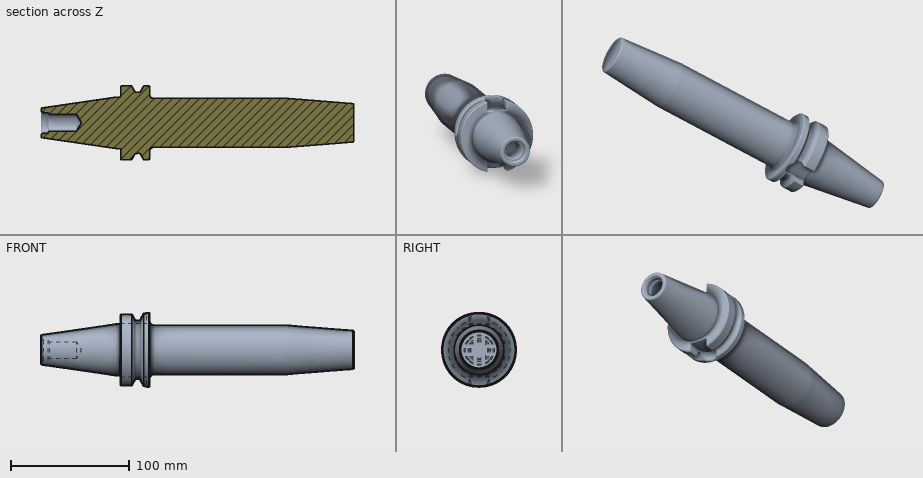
import cadquery as cq
import math


gauge_radius = 44.45 / 2
taper_slope = 7 / 24 / 2
shank_start_x = -65.4
shank_end_chamfer = 0.8
taper_end_x = -1.4

flange_radius = 63 / 2
flange_start_x = 2.0
flange_end_x = 27.0
flange_chamfer = 0.8

groove_center_x = 16.6
groove_floor_radius = 26.2
groove_floor_width = 4.0
groove_half_angle = math.radians(30)
groove_floor_fillet = 1.0

slot_width = 16.1
slot_floor_z = 22.6
slot_end_x = 24.0

nose_end_x = 200.0
body_radius = 42 / 2
body_fillet = 3.0
nose_length = 57.5
nose_tip_radius = 33 / 2
nose_chamfer = 1.0

mouth_radius = 19.5 / 2
pilot_radius = 17 / 2
pilot_depth = 6.0
mouth_half_angle = math.radians(30)
thread_radius = 14 / 2
thread_relief_radius = 16 / 2
thread_depth = 30.0
drill_half_angle = math.radians(59)

overshoot = 1.0


def taper_radius(x):
    return gauge_radius + taper_slope * x


def revolve_about_x(profile):
    return profile.close().revolve(360, (0, 0, 0), (1, 0, 0))


def make_core():
    """Taper shank, neck, body and nose, without the flange."""
    shank_chamfer_x = shank_start_x + shank_end_chamfer
    neck_radius = taper_radius(taper_end_x)
    neck_fillet = slot_floor_z - neck_radius
    profile = (
        cq.Workplane("XY")
        .moveTo(shank_start_x, 0)
        .lineTo(shank_start_x, taper_radius(shank_start_x) - shank_end_chamfer)
        .lineTo(shank_chamfer_x, taper_radius(shank_chamfer_x))
        .lineTo(taper_end_x, neck_radius)
        .lineTo(flange_start_x - neck_fillet, neck_radius)
        .radiusArc((flange_start_x, slot_floor_z), -neck_fillet)
        .lineTo(flange_start_x, body_radius)
        .lineTo(flange_end_x, body_radius)
        .lineTo(flange_end_x, body_radius + body_fillet)
        .radiusArc((flange_end_x + body_fillet, body_radius), -body_fillet)
        .lineTo(nose_end_x - nose_length, body_radius)
        .lineTo(nose_end_x - nose_chamfer, nose_tip_radius)
        .lineTo(nose_end_x, nose_tip_radius - nose_chamfer)
        .lineTo(nose_end_x, 0)
    )
    return revolve_about_x(profile)


def make_slot(side):
    """Round-ended drive slot, open toward the shank, on the +Z or -Z side."""
    half = slot_width / 2
    open_x = flange_start_x - overshoot
    round_x = slot_end_x - half
    height = flange_radius - slot_floor_z + overshoot
    return (
        cq.Workplane("XY", origin=(0, 0, side * slot_floor_z))
        .moveTo(open_x, -half)
        .lineTo(round_x, -half)
        .threePointArc((slot_end_x, 0), (round_x, half))
        .lineTo(open_x, half)
        .close()
        .extrude(side * height)
    )


def make_groove():
    """V-shaped ring with a filleted flat floor."""
    outer_radius = flange_radius + overshoot
    floor_half = groove_floor_width / 2
    outer_half = floor_half + (outer_radius - groove_floor_radius) * math.tan(groove_half_angle)
    ring = revolve_about_x(
        cq.Workplane("XY")
        .moveTo(groove_center_x - outer_half, outer_radius)
        .lineTo(groove_center_x - floor_half, groove_floor_radius)
        .lineTo(groove_center_x + floor_half, groove_floor_radius)
        .lineTo(groove_center_x + outer_half, outer_radius)
    )
    floor_edges = cq.selectors.RadiusNthSelector(0)
    return ring.edges("%CIRCLE").edges(floor_edges).fillet(groove_floor_fillet)


def make_flange():
    """Disc with two drive slots, chamfered edges, and the groove."""
    disc = (
        cq.Workplane("YZ", origin=(flange_start_x, 0, 0))
        .circle(flange_radius)
        .extrude(flange_end_x - flange_start_x)
    )
    for side in (1, -1):
        disc = disc.cut(make_slot(side))
    outer_edges = disc.faces("%CYLINDER").faces(cq.selectors.AreaNthSelector(-1)).edges()
    front_edges = disc.faces("<X").edges()
    return outer_edges.add(front_edges).chamfer(flange_chamfer).cut(make_groove())


def make_bore():
    """Drawbar hole: tapered mouth, pilot, thread relief, thread core, drill point."""
    mouth_end_x = shank_start_x + (mouth_radius - pilot_radius) / math.tan(mouth_half_angle)
    pilot_end_x = shank_start_x + pilot_depth
    relief_step = thread_relief_radius - thread_radius
    thread_end_x = shank_start_x + thread_depth
    profile = (
        cq.Workplane("XY")
        .moveTo(shank_start_x, 0)
        .lineTo(shank_start_x, mouth_radius)
        .lineTo(mouth_end_x, pilot_radius)
        .lineTo(pilot_end_x, pilot_radius)
        .lineTo(pilot_end_x, thread_relief_radius)
        .lineTo(pilot_end_x + relief_step, thread_radius)
        .lineTo(thread_end_x, thread_radius)
        .lineTo(thread_end_x + thread_radius / math.tan(drill_half_angle), 0)
    )
    return revolve_about_x(profile)


result = make_core().union(make_flange()).cut(make_bore())